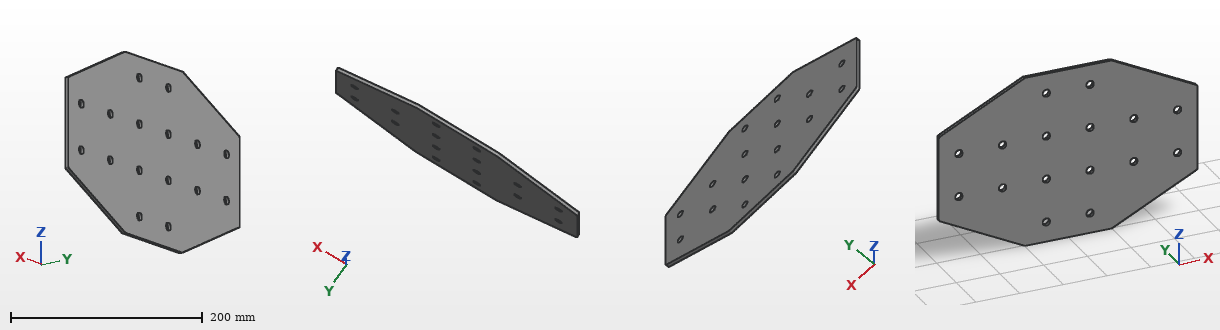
import cadquery as cq

length = 296.0
height = 196.0
thickness = 4.0
end_edge = 97.7
long_edge = 99.2
corner_radius = 3.0

hole_diameter = 8.3
pitch = 50.0
long_row_count = 6
long_rows = 2
short_row_count = 2
short_row_height = 1.5 * pitch


def make_plate():
    """Elongated octagon in the XZ plane, centred on the origin, with rounded corners."""
    half_length = length / 2
    half_height = height / 2
    outline = [
        (half_length, end_edge / 2),
        (long_edge / 2, half_height),
        (-long_edge / 2, half_height),
        (-half_length, end_edge / 2),
        (-half_length, -end_edge / 2),
        (-long_edge / 2, -half_height),
        (long_edge / 2, -half_height),
        (half_length, -end_edge / 2),
    ]
    plate = cq.Workplane("XZ").polyline(outline).close().extrude(thickness / 2, both=True)
    return plate.edges("|Y").fillet(corner_radius)


def drill_holes(plate):
    """Two central rows of holes plus a short row above and below them."""
    drills = (
        cq.Workplane("XZ")
        .rarray(pitch, pitch, long_row_count, long_rows)
        .circle(hole_diameter / 2)
        .extrude(thickness, both=True)
    )
    short_row_drills = (
        cq.Workplane("XZ")
        .rarray(pitch, 2 * short_row_height, short_row_count, 2)
        .circle(hole_diameter / 2)
        .extrude(thickness, both=True)
    )
    return plate.cut(drills).cut(short_row_drills)


result = drill_holes(make_plate())